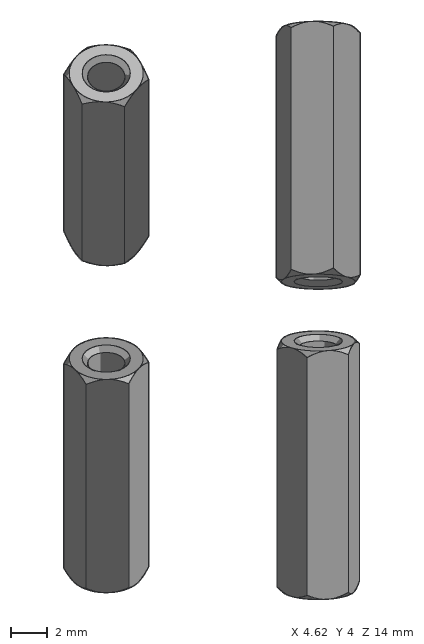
import cadquery as cq
import math

length = 14.0
across_flats = 4.0
bore_diameter = 2.02
countersink_diameter = 2.6
end_face_diameter = across_flats

corner_diameter = across_flats / math.cos(math.pi / 6)
corner_chamfer = (corner_diameter - end_face_diameter) / 2
countersink_depth = (countersink_diameter - bore_diameter) / 2


def hexagonal_bar():
    """Hexagon with its corners on the X axis, centred on the origin."""
    return cq.Workplane("XY").polygon(6, corner_diameter).extrude(length / 2, both=True)


def corner_envelope():
    """Round bar with coned ends that trims the hexagon corners."""
    bar = cq.Workplane("XY").circle(corner_diameter / 2).extrude(length / 2, both=True)
    return bar.faces("|Z").edges().chamfer(corner_chamfer)


def countersunk_bore():
    """Through bore widening at both ends, revolved about Z."""
    half_length = length / 2
    bore_radius = bore_diameter / 2
    mouth_radius = countersink_diameter / 2
    cone_start = half_length - countersink_depth
    profile = [
        (0, -half_length),
        (mouth_radius, -half_length),
        (bore_radius, -cone_start),
        (bore_radius, cone_start),
        (mouth_radius, half_length),
        (0, half_length),
    ]
    return cq.Workplane("XZ").polyline(profile).close().revolve(360, (0, 0), (0, 1))


result = hexagonal_bar().intersect(corner_envelope()).cut(countersunk_bore())